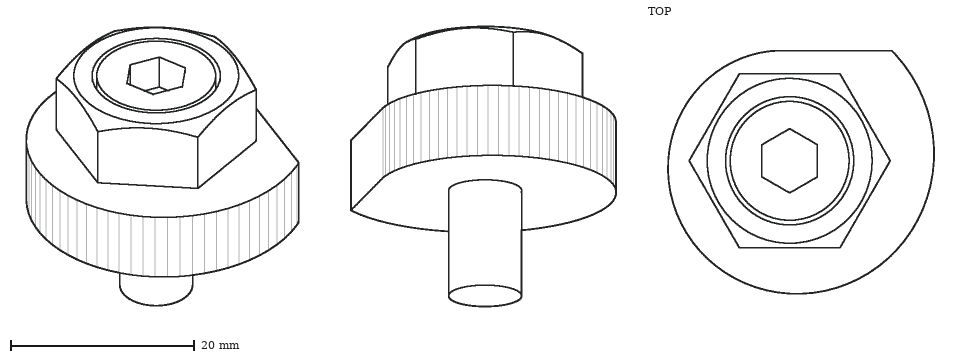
import cadquery as cq
import math


CAM_HEIGHT = 8.0
SPIRAL_START_ANGLE = 90
SPIRAL_START_RADIUS = 12.03
SPIRAL_RISE_PER_TURN = 4.97
FACET_ANGLE = 5
FACET_COUNT = 64

HEX_ACROSS_FLATS = 19.0
HEX_HEIGHT = 8.0
HEX_TOP_RADIUS = 9.0
HEX_CHAMFER_ANGLE = 30

SHANK_DIAMETER = 8.0
SHANK_PROJECTION = 12.03
SCREW_HEAD_DIAMETER = 12.99
SCREW_HEAD_HEIGHT = SHANK_DIAMETER
SOCKET_ACROSS_FLATS = 6.07
SOCKET_DEPTH = 4.0

COUNTERBORE_DIAMETER = 14.0

TOP_Z = CAM_HEIGHT + HEX_HEIGHT
HEAD_SEAT_Z = TOP_Z - SCREW_HEAD_HEIGHT
CORNERS_PER_FLATS = 1 / math.cos(math.radians(30))


def spiral_point(angle):
    """Point on the cam spiral, with the angle in degrees."""
    turns = (angle - SPIRAL_START_ANGLE) / 360
    radius = SPIRAL_START_RADIUS + SPIRAL_RISE_PER_TURN * turns
    direction = math.radians(angle)
    return radius * math.cos(direction), radius * math.sin(direction)


def make_cam_disc():
    """Faceted spiral disc, closed along a flat at the height of the spiral start."""
    points = [spiral_point(SPIRAL_START_ANGLE + i * FACET_ANGLE) for i in range(FACET_COUNT + 1)]
    disc = cq.Workplane("XY").polyline(points).close().extrude(CAM_HEIGHT)
    max_radius = SPIRAL_START_RADIUS + SPIRAL_RISE_PER_TURN
    below_flat = (
        cq.Workplane("XY")
        .center(0, SPIRAL_START_RADIUS - max_radius)
        .rect(2 * max_radius, 2 * max_radius)
        .extrude(CAM_HEIGHT)
    )
    return disc.intersect(below_flat)


def make_wrench_head():
    """Hexagon with corners on the X axis and a conical chamfer around its top."""
    corner_radius = HEX_ACROSS_FLATS * CORNERS_PER_FLATS / 2
    chamfer_drop = (corner_radius - HEX_TOP_RADIUS) * math.tan(math.radians(HEX_CHAMFER_ANGLE))
    hexagon = (
        cq.Workplane("XY", origin=(0, 0, CAM_HEIGHT))
        .polygon(6, 2 * corner_radius)
        .extrude(HEX_HEIGHT)
    )
    chamfer_envelope = (
        cq.Workplane("XZ")
        .moveTo(0, CAM_HEIGHT)
        .lineTo(corner_radius, CAM_HEIGHT)
        .lineTo(corner_radius, TOP_Z - chamfer_drop)
        .lineTo(HEX_TOP_RADIUS, TOP_Z)
        .lineTo(0, TOP_Z)
        .close()
        .revolve(360, (0, 0), (0, 1))
    )
    return hexagon.intersect(chamfer_envelope)


def make_cam():
    """Cam disc and wrench head in one piece, bored and counterbored for the screw."""
    bore = cq.Workplane("XY").circle(SHANK_DIAMETER / 2).extrude(TOP_Z)
    counterbore = (
        cq.Workplane("XY", origin=(0, 0, HEAD_SEAT_Z))
        .circle(COUNTERBORE_DIAMETER / 2)
        .extrude(SCREW_HEAD_HEIGHT)
    )
    return make_cam_disc().union(make_wrench_head()).cut(bore).cut(counterbore)


def make_screw():
    """Cap screw with a hexagonal socket whose corners lie in the Y direction."""
    shank = (
        cq.Workplane("XY", origin=(0, 0, -SHANK_PROJECTION))
        .circle(SHANK_DIAMETER / 2)
        .extrude(SHANK_PROJECTION + HEAD_SEAT_Z)
    )
    head = (
        cq.Workplane("XY", origin=(0, 0, HEAD_SEAT_Z))
        .circle(SCREW_HEAD_DIAMETER / 2)
        .extrude(SCREW_HEAD_HEIGHT)
    )
    socket = (
        cq.Workplane("XY", origin=(0, 0, TOP_Z))
        .transformed(rotate=(0, 0, 90))
        .polygon(6, SOCKET_ACROSS_FLATS * CORNERS_PER_FLATS)
        .extrude(-SOCKET_DEPTH)
    )
    return shank.union(head).cut(socket)


cam = make_cam()
screw = make_screw()
result = cq.Compound.makeCompound([cam.solids().val(), screw.solids().val()])